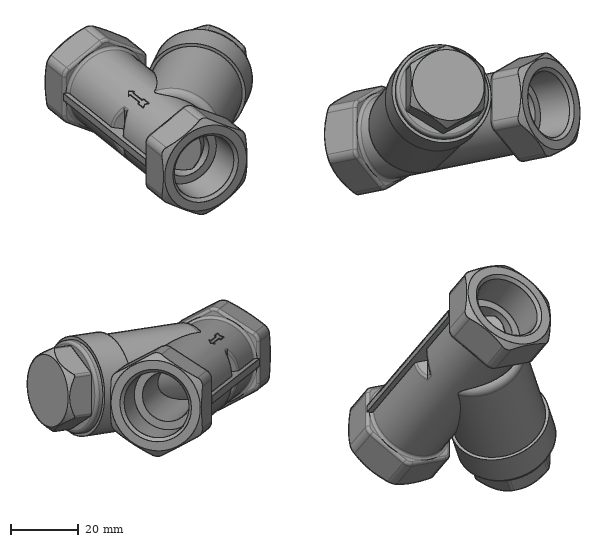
import cadquery as cq
import math

LENGTH = 75.0
BODY_D = 25.0
HEX_LENGTH = 12.0
HEX_FLATS = 28.15
HEX_CORNER_R = 3.0
HEX_FACE_D = 27.5
HEX_CHAMFER_ANGLE = 35.0
HEX_EDGE_R = 1.0
COVE_R = 0.9

SOCKET_D = 20.0
SOCKET_DEPTH = 12.0
SOCKET_MOUTH_D = 22.0
SOCKET_MOUTH_DEPTH = 1.0
BORE_D = 15.0

RIB_WIDTH = 2.3
RIB_REACH = 14.0
RIB_OVERLAP = 0.2
RIB_HALF_LENGTH = LENGTH / 2 - HEX_LENGTH + RIB_OVERLAP
NOTCH_X = 5.2
NOTCH_FLOOR = 9.7
NOTCH_FLOOR_WIDTH = 1.5
NOTCH_EDGE_R = 1.2
NOTCH_OVERCUT = 1.0
ARROW_TIP_X = 0.5
ARROW_Y = -6.1
ARROW_LENGTH = 11.0
ARROW_HEAD_LENGTH = 1.7
ARROW_SHAFT_WIDTH = 0.9
ARROW_WIDTH = 1.9
ARROW_TAIL_LENGTH = 3.4
ARROW_TAIL_CUT = 0.9
ARROW_HEIGHT = 0.15

BRANCH_ANGLE = 40.0
BRANCH_ORIGIN_X = 15.7
BRANCH_D = 28.0
BRANCH_START = 4.2
COLLAR_START = 36.0
COLLAR_END = 46.0
FLANGE_END = 48.2
CAP_END = 56.3
BRANCH_END_R = 2.3
COLLAR_D = 30.0
FLANGE_D = 28.0
FLANGE_EDGE_R = 1.0
CAP_FLATS = 22.3
CAP_CORNER_R = 1.0
CAP_FACE_D = 21.7
CAP_CHAMFER_ANGLE = 50.0
SCREEN_D = 20.0
SCREEN_START = -4.0


def chamfered_hexagon(flats, corner_r, length, face_d, chamfer_angle):
    """Hexagonal prism along +Z (corners on X) and the conical chamfer envelope for its Z = length end."""
    corner_d = flats / math.cos(math.pi / 6)
    prism = cq.Workplane("XY").polygon(6, corner_d).extrude(length).edges("|Z").fillet(corner_r)
    outer_r = corner_d / 2
    drop = (outer_r - face_d / 2) * math.tan(math.radians(chamfer_angle))
    envelope = (
        cq.Workplane("XZ")
        .polyline([(0, 0), (outer_r, 0), (outer_r, length - drop), (face_d / 2, length), (0, length)])
        .close()
        .revolve(360, (0, 0, 0), (0, 1, 0))
    )
    return prism, envelope


def pipe_end():
    """Hexagonal end at +X with the cove that runs down to the pipe."""
    prism, envelope = chamfered_hexagon(
        HEX_FLATS, HEX_CORNER_R, HEX_LENGTH, HEX_FACE_D, HEX_CHAMFER_ANGLE
    )
    hexagon = prism.faces("<Z").edges().fillet(HEX_EDGE_R).intersect(envelope)
    pipe_r = BODY_D / 2
    cove = (
        cq.Workplane("XZ")
        .moveTo(0, -COVE_R)
        .lineTo(pipe_r, -COVE_R)
        .radiusArc((pipe_r + COVE_R, 0), COVE_R)
        .lineTo(pipe_r, HEX_EDGE_R)
        .lineTo(0, HEX_EDGE_R)
        .close()
        .revolve(360, (0, 0, 0), (0, 1, 0))
    )
    end = hexagon.union(cove)
    return end.rotate((0, 0, 0), (0, 1, 0), 90).translate((LENGTH / 2 - HEX_LENGTH, 0, 0))


def both_ends(shape):
    """The shape together with its mirror image about the YZ plane."""
    return shape.union(shape.mirror("YZ"))


def notch():
    """V-groove with 45 degree walls across the -Y side of the pipe."""
    half_floor = NOTCH_FLOOR_WIDTH / 2
    depth = BODY_D / 2 - NOTCH_FLOOR + NOTCH_OVERCUT
    half_top = half_floor + depth
    return (
        cq.Workplane("XY")
        .polyline([
            (NOTCH_X - half_floor, -NOTCH_FLOOR),
            (NOTCH_X + half_floor, -NOTCH_FLOOR),
            (NOTCH_X + half_top, -NOTCH_FLOOR - depth),
            (NOTCH_X - half_top, -NOTCH_FLOOR - depth),
        ])
        .close()
        .extrude(BODY_D / 2, both=True)
    )


def pipe():
    """Plain pipe between the hexagons, with the notch and its rounded rim."""
    barrel = cq.Workplane("YZ").circle(BODY_D / 2).extrude(LENGTH / 2 - HEX_LENGTH, both=True)
    notch_middle = cq.selectors.BoxSelector(
        (NOTCH_X - BODY_D / 4, -BODY_D, -BODY_D),
        (NOTCH_X + BODY_D / 4, 0, BODY_D),
    )
    rim = barrel.cut(notch()).edges(notch_middle).edges("not |Z")
    return rim.fillet(NOTCH_EDGE_R)


def rib():
    """Flat rib along the -Y side of the pipe, running across the notch."""
    return cq.Workplane("XY").box(
        2 * RIB_HALF_LENGTH, RIB_REACH, RIB_WIDTH, centered=(True, False, True)
    ).translate((0, -RIB_REACH, 0))


def arrow():
    """Flow arrow raised slightly from the upper side of the pipe, pointing to -X."""
    neck_x = ARROW_TIP_X + ARROW_HEAD_LENGTH
    end_x = ARROW_TIP_X + ARROW_LENGTH
    tail_x = end_x - ARROW_TAIL_LENGTH
    half = ARROW_WIDTH / 2
    half_shaft = ARROW_SHAFT_WIDTH / 2
    plate = (
        cq.Workplane("XY")
        .polyline([
            (ARROW_TIP_X, 0),
            (neck_x, half),
            (neck_x, half_shaft),
            (tail_x, half_shaft),
            (tail_x, half),
            (end_x, half),
            (end_x - ARROW_TAIL_CUT, 0),
            (end_x, -half),
            (tail_x, -half),
            (tail_x, -half_shaft),
            (neck_x, -half_shaft),
            (neck_x, -half),
        ])
        .close()
        .extrude(BODY_D)
        .translate((0, ARROW_Y, 0))
    )
    skin = cq.Workplane("YZ").circle(BODY_D / 2 + ARROW_HEIGHT).extrude(LENGTH / 2 - HEX_LENGTH, both=True)
    return plate.intersect(skin)


def cylinder(diameter, start, end):
    return cq.Workplane("XY").workplane(offset=start).circle(diameter / 2).extrude(end - start)


def along_branch(shape):
    """Lay a shape built along +Z onto the branch axis; its X axis becomes vertical."""
    upright = shape.rotate((0, 0, 0), (0, 1, 0), -90)
    return upright.rotate((0, 0, 0), (0, 0, 1), -BRANCH_ANGLE).translate((BRANCH_ORIGIN_X, 0, 0))


def branch():
    """Inclined housing with its collar, cap flange and hexagonal cap."""
    housing = cylinder(BRANCH_D, BRANCH_START, COLLAR_START).faces("<Z").edges().fillet(BRANCH_END_R)
    collar = cylinder(COLLAR_D, COLLAR_START, COLLAR_END)
    flange = cylinder(FLANGE_D, COLLAR_END, FLANGE_END).faces(">Z").edges().fillet(FLANGE_EDGE_R)
    prism, envelope = chamfered_hexagon(
        CAP_FLATS, CAP_CORNER_R, CAP_END - FLANGE_END, CAP_FACE_D, CAP_CHAMFER_ANGLE
    )
    cap = prism.intersect(envelope).translate((0, 0, FLANGE_END))
    return along_branch(housing.union(collar).union(flange).union(cap))


def passage():
    """Socket and bore of the +X end."""
    half = LENGTH / 2
    mouth_r = SOCKET_MOUTH_D / 2
    socket_r = SOCKET_D / 2
    bore_r = BORE_D / 2
    return (
        cq.Workplane("XY")
        .polyline([
            (0, 0),
            (0, bore_r),
            (half - SOCKET_DEPTH, bore_r),
            (half - SOCKET_DEPTH, socket_r),
            (half - SOCKET_MOUTH_DEPTH, socket_r),
            (half, mouth_r),
            (half, 0),
        ])
        .close()
        .revolve(360, (0, 0, 0), (1, 0, 0))
    )


def screen():
    """Solid core on the branch axis that closes the bore."""
    return along_branch(cylinder(SCREEN_D, SCREEN_START, COLLAR_START))


body = pipe().union(both_ends(pipe_end())).union(rib()).union(arrow()).union(branch())
result = body.cut(both_ends(passage()).cut(screen()))